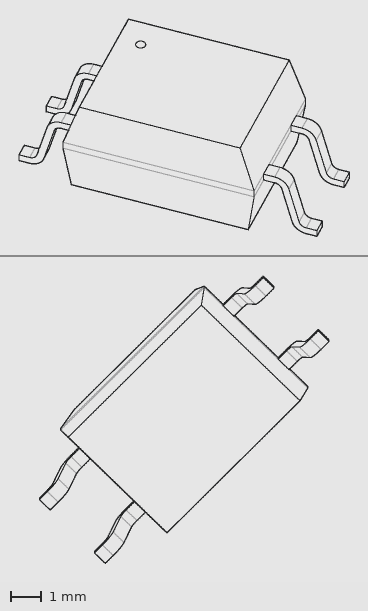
import cadquery as cq
import math


span_x = 10.44
overall_height = 3.81

lead_thickness = 0.26
lead_width = 0.5
lead_pitch = 2.54
foot_length = 0.38
bend_radius = 0.39
bend_angle = math.radians(75)

housing_length = 6.7
housing_width = 4.78
top_inset_x = 0.53
top_inset_y = 0.1
bottom_inset_x = 0.25
bottom_inset_y = 0.11
standoff = lead_thickness
band_height = lead_thickness
half_height = (overall_height - standoff - band_height) / 2
band_bottom = standoff + half_height
band_top = band_bottom + band_height

marker_diameter = 0.33
marker_depth = 0.05
marker_x = -2.0
marker_y = lead_pitch / 2


def tapered_block(start_z, height, inset_x, inset_y):
    """Solid that narrows from the full housing outline by the given inset on each side."""
    return (
        cq.Workplane("XY", origin=(0, 0, start_z))
        .rect(housing_length, housing_width)
        .workplane(offset=height)
        .rect(housing_length - 2 * inset_x, housing_width - 2 * inset_y)
        .loft(ruled=True)
    )


def make_marker():
    """Round disc set into the top face."""
    return (
        cq.Workplane("XY", origin=(marker_x, marker_y, overall_height - marker_depth))
        .circle(marker_diameter / 2)
        .extrude(marker_depth)
    )


def make_housing():
    """Straight parting band with tapered halves and a recess for the marker."""
    band = (
        cq.Workplane("XY", origin=(0, 0, band_bottom))
        .rect(housing_length, housing_width)
        .extrude(band_height)
    )
    upper_half = tapered_block(band_top, half_height, top_inset_x, top_inset_y)
    lower_half = tapered_block(band_bottom, -half_height, bottom_inset_x, bottom_inset_y)
    return band.union(upper_half).union(lower_half).cut(make_marker())


def make_left_lead(y):
    """Gull-wing lead on the -X side: foot, bend up, slanted leg, bend over, shoulder."""
    foot_z = lead_thickness / 2
    shoulder_z = band_bottom + band_height / 2
    toe_x = -span_x / 2
    bend_run = bend_radius * math.sin(bend_angle)
    bend_rise = bend_radius * (1 - math.cos(bend_angle))
    leg_rise = shoulder_z - foot_z - 2 * bend_rise
    leg_run = leg_rise / math.tan(bend_angle)

    foot_end_x = toe_x + foot_length
    leg_start = (foot_end_x + bend_run, foot_z + bend_rise)
    leg_end = (leg_start[0] + leg_run, leg_start[1] + leg_rise)
    middle_line = (
        cq.Workplane("XZ", origin=(0, y, 0))
        .moveTo(toe_x, foot_z)
        .lineTo(foot_end_x, foot_z)
        .tangentArcPoint(leg_start, relative=False)
        .lineTo(*leg_end)
        .tangentArcPoint((leg_end[0] + bend_run, shoulder_z), relative=False)
        .lineTo(-housing_length / 2, shoulder_z)
    )
    return (
        cq.Workplane("YZ", origin=(toe_x, y, foot_z))
        .rect(lead_width, lead_thickness)
        .sweep(middle_line)
    )


housing = make_housing()
marker = make_marker()

leads = []
for lead_y in (-lead_pitch / 2, lead_pitch / 2):
    left_lead = make_left_lead(lead_y)
    leads.append(left_lead.val())
    leads.append(left_lead.mirror("YZ").val())

result = cq.Compound.makeCompound([housing.val(), marker.val(), *leads])